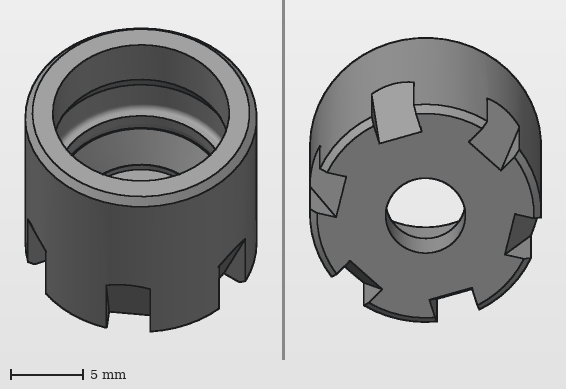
import cadquery as cq
import math

body_diameter = 16.0
body_height = 14.6
edge_chamfer = 0.5

mouth_diameter = 12.19
mouth_depth = 3.76
groove_diameter = 13.3
groove_taper_end_depth = 5.0
groove_floor_depth = 7.46
groove_fillet = 0.4
land_diameter = 11.79
land_height = 0.87
land_flare_height = 0.5
land_flare_angle = 7.0
seat_top_diameter = 11.74
seat_bottom_diameter = 9.1
seat_half_angle = 30.0
recess_diameter = 9.02
recess_height = 0.5
hole_diameter = 5.5

slot_count = 6
slot_width = 3.05
slot_height = 5.53
slot_floor_angle = 20.0
first_slot_angle = 30.0


def make_body():
    """Plain cylinder standing on Z = 0, chamfered at both ends."""
    body = cq.Workplane("XY").circle(body_diameter / 2).extrude(body_height)
    return body.faces("<Z or >Z").edges().chamfer(edge_chamfer)


def make_bore():
    """Revolved bore: mouth, undercut groove, flared land, tapered seat, recess and through hole."""
    mouth_radius = mouth_diameter / 2
    groove_radius = groove_diameter / 2
    land_radius = land_diameter / 2
    seat_top_radius = seat_top_diameter / 2
    seat_bottom_radius = seat_bottom_diameter / 2
    recess_radius = recess_diameter / 2
    hole_radius = hole_diameter / 2

    mouth_end_z = body_height - mouth_depth
    groove_top_z = body_height - groove_taper_end_depth
    groove_floor_z = body_height - groove_floor_depth
    seat_drop = (seat_top_radius - seat_bottom_radius) / math.tan(math.radians(seat_half_angle))
    land_end_z = groove_floor_z - land_height
    flare_radius = land_radius + land_flare_height * math.tan(math.radians(land_flare_angle))
    seat_top_z = land_end_z - land_flare_height
    seat_bottom_z = seat_top_z - seat_drop
    recess_floor_z = seat_bottom_z - recess_height

    profile = (
        cq.Workplane("XZ")
        .moveTo(0, body_height)
        .lineTo(mouth_radius, body_height)
        .lineTo(mouth_radius, mouth_end_z)
        .lineTo(groove_radius, groove_top_z)
        .lineTo(groove_radius, groove_floor_z + groove_fillet)
        .radiusArc((groove_radius - groove_fillet, groove_floor_z), groove_fillet)
        .lineTo(land_radius, groove_floor_z)
        .lineTo(land_radius, land_end_z)
        .lineTo(flare_radius, seat_top_z)
        .lineTo(seat_top_radius, seat_top_z)
        .lineTo(seat_bottom_radius, seat_bottom_z)
        .lineTo(recess_radius, seat_bottom_z)
        .lineTo(recess_radius, recess_floor_z)
        .lineTo(hole_radius, recess_floor_z)
        .lineTo(hole_radius, 0)
        .lineTo(0, 0)
        .close()
    )
    return profile.revolve(360, (0, 0, 0), (0, 1, 0))


def make_slot(angle):
    """Wedge whose sloping floor runs from the outer wall inwards to the bottom face."""
    outer_radius = body_diameter / 2
    floor_depth = slot_height * math.tan(math.radians(slot_floor_angle))
    wedge = (
        cq.Workplane("XZ")
        .moveTo(outer_radius, slot_height)
        .lineTo(outer_radius - floor_depth, 0)
        .lineTo(outer_radius, 0)
        .close()
        .extrude(slot_width / 2, both=True)
    )
    return wedge.rotate((0, 0, 0), (0, 0, 1), angle)


result = make_body().cut(make_bore())
for index in range(slot_count):
    result = result.cut(make_slot(first_slot_angle + index * 360 / slot_count))